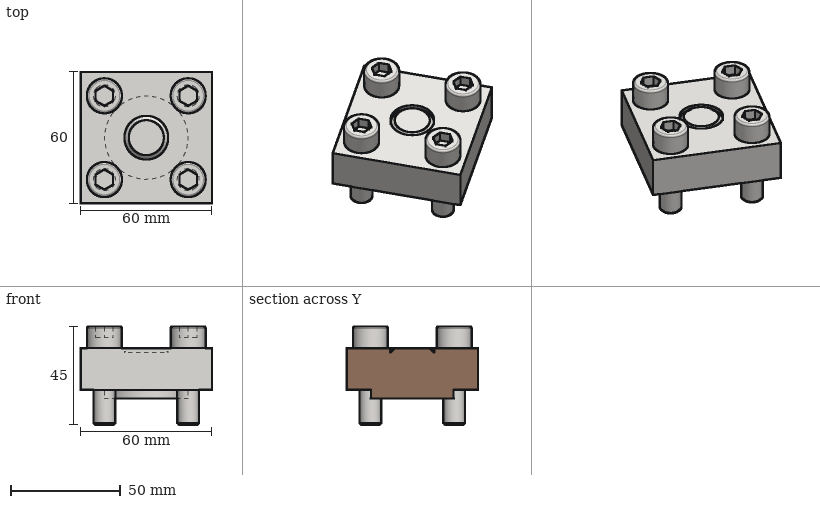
import cadquery as cq
import math

overall_height = 45
plate_side = 60
plate_height = 19.0

spigot_diameter = 38.0
spigot_height = 4.0

plug_diameter = 20.0
plug_chamfer = 2.0

screw_spacing = 38.2
shank_diameter = 10.0
shank_length = 16.0
shank_chamfer = 1.0
head_diameter = 16.0
head_height = overall_height - plate_height - shank_length
head_rounding = 1.0
socket_across_flats = 8.0
socket_depth = 5.0
hexagon_half_angle = 30


def make_plate():
    plate = cq.Workplane("XY").rect(plate_side, plate_side).extrude(plate_height)
    spigot = cq.Workplane("XY").circle(spigot_diameter / 2).extrude(-spigot_height)
    return plate.union(spigot)


def make_plug_groove():
    """Ring with a vertical outer wall and a conical inner wall."""
    outer_radius = plug_diameter / 2
    return (
        cq.Workplane("XZ")
        .moveTo(outer_radius - plug_chamfer, plate_height)
        .lineTo(outer_radius, plate_height)
        .lineTo(outer_radius, plate_height - plug_chamfer)
        .close()
        .revolve(360, (0, 0, 0), (0, 1, 0))
    )


def make_screw():
    shank = (
        cq.Workplane("XY")
        .workplane(offset=-shank_length)
        .circle(shank_diameter / 2)
        .extrude(shank_length + plate_height)
        .faces("<Z")
        .chamfer(shank_chamfer)
    )
    head = (
        cq.Workplane("XY")
        .workplane(offset=plate_height)
        .circle(head_diameter / 2)
        .extrude(head_height)
        .faces(">Z")
        .edges()
        .fillet(head_rounding)
    )
    return shank.union(head)


def make_socket():
    """Hexagonal key socket with two corners on the Y direction."""
    across_corners = socket_across_flats / math.cos(math.radians(hexagon_half_angle))
    return (
        cq.Workplane("XY")
        .workplane(offset=plate_height + head_height - socket_depth)
        .polygon(6, across_corners)
        .extrude(socket_depth)
        .rotate((0, 0, 0), (0, 0, 1), hexagon_half_angle)
    )


result = make_plate().cut(make_plug_groove())
screw = make_screw().cut(make_socket())
half_spacing = screw_spacing / 2
for x in (-half_spacing, half_spacing):
    for y in (-half_spacing, half_spacing):
        result = result.union(screw.translate((x, y, 0)))